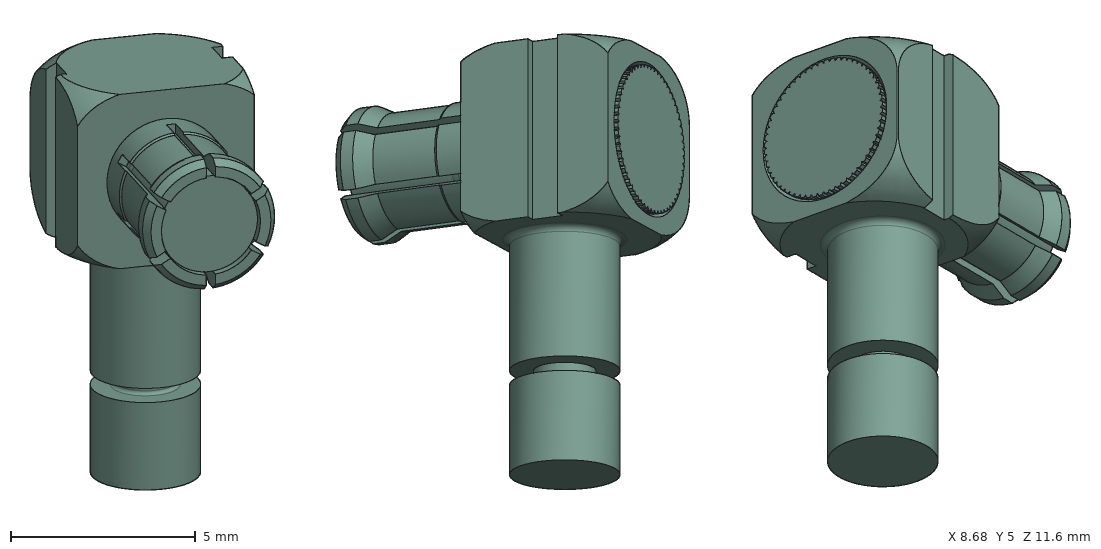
import cadquery as cq
import math


overall_height = 11.61

block_size = 5.0
block_back_x = -2.54
block_front_x = 1.9
corner_axis_x = -0.16
corner_axis_y = 0.17
corner_radius = 3.56
corner_arc_radius = 1.71
corner_straight_half_height = 0.94
groove_centre_x = -0.57
groove_width = 0.89
groove_depth = 0.3

stem_diameter = 3.0
stem_bottom_z = -6.19
stem_fillet = 0.19

end_piece_diameter = 3.0
end_piece_top_z = -6.6
neck_diameter = 1.7
neck_fillet = 0.1

cap_diameter = 4.06
cap_back_x = -2.61
cap_seat_depth = 0.58
countersink_diameter = 4.25
countersink_depth = 0.09
tooth_count = 60
tooth_notch_depth = 0.07
tooth_notch_width = 0.09

collet_shoulder_radius = 1.67
collet_finger_radius = 1.63
collet_flare_radius = 1.87
collet_mouth_radius = 1.7
shoulder_end_x = 3.05
finger_start_x = 3.12
flare_start_x = 4.99
flare_full_x = 5.48
flare_end_x = 5.85
collet_tip_x = 6.07
slot_start_x = 2.38
slot_width = 0.25
slot_count = 6

insulator_base_diameter = 2.8
insulator_nose_diameter = 2.75
insulator_taper_start_x = 2.6
insulator_taper_end_x = 2.8
insulator_tip_x = 5.87

half_block = block_size / 2
overall_bottom_z = half_block - overall_height
cap_front_x = block_back_x + cap_seat_depth


def cylinder_along_x(start_x, end_x, diameter):
    """A cylinder on the plug axis."""
    return cq.Workplane("YZ", origin=(start_x, 0, 0)).circle(diameter / 2).extrude(end_x - start_x)


def turned_along_x(profile):
    """A solid turned about the plug axis from (x, radius) points."""
    return cq.Workplane("XY").polyline(profile).close().revolve(360, (0, 0, 0), (1, 0, 0))


def cylinder_along_z(bottom_z, top_z, diameter):
    """A cylinder on the stem axis."""
    return cq.Workplane("XY", origin=(0, 0, bottom_z)).circle(diameter / 2).extrude(top_z - bottom_z)


def corner_envelope():
    """A drum with rounded rims: the part of it inside the block is what stays at the corners."""
    arc_centre_radius = corner_radius - corner_arc_radius
    arc_end_angle = math.asin((half_block - corner_straight_half_height) / corner_arc_radius)
    face_radius = arc_centre_radius + corner_arc_radius * math.cos(arc_end_angle)
    arc_mid_radius = arc_centre_radius + corner_arc_radius * math.cos(arc_end_angle / 2)
    arc_mid_z = corner_straight_half_height + corner_arc_radius * math.sin(arc_end_angle / 2)
    return (
        cq.Workplane("XZ", origin=(corner_axis_x, corner_axis_y, 0))
        .moveTo(0, -half_block)
        .lineTo(face_radius, -half_block)
        .threePointArc((arc_mid_radius, -arc_mid_z), (corner_radius, -corner_straight_half_height))
        .lineTo(corner_radius, corner_straight_half_height)
        .threePointArc((arc_mid_radius, arc_mid_z), (face_radius, half_block))
        .lineTo(0, half_block)
        .close()
        .revolve(360, (0, 0, 0), (0, 1, 0))
    )


def make_block():
    """The block with rounded corners and a vertical groove in each side."""
    length = block_front_x - block_back_x
    centre_x = (block_front_x + block_back_x) / 2
    block = cq.Workplane("XY").box(length, block_size, block_size).translate((centre_x, 0, 0))
    block = block.intersect(corner_envelope())
    for side in (-1, 1):
        groove = cq.Workplane("XY").box(groove_width, 2 * groove_depth, block_size)
        block = block.cut(groove.translate((groove_centre_x, side * half_block, 0)))
    return block


def fillet_flare(radius, fillet, face_z, direction):
    """A concave fillet around a round bar where it leaves a flat face, going up (1) or down (-1)."""
    arc_mid = fillet * (1 - math.sqrt(0.5))
    return (
        cq.Workplane("XZ")
        .moveTo(0, face_z)
        .lineTo(radius + fillet, face_z)
        .threePointArc(
            (radius + arc_mid, face_z + direction * arc_mid),
            (radius, face_z + direction * fillet),
        )
        .lineTo(0, face_z + direction * fillet)
        .close()
        .revolve(360, (0, 0, 0), (0, 1, 0))
    )


def make_stem():
    """The stem with a fillet under the block."""
    stem = cylinder_along_z(stem_bottom_z, -half_block, stem_diameter)
    return stem.union(fillet_flare(stem_diameter / 2, stem_fillet, -half_block, -1))


def make_housing():
    """Block and stem in one piece, with the countersunk seat of the rear cap."""
    seat = cylinder_along_x(block_back_x, cap_front_x, cap_diameter)
    countersink = turned_along_x([
        (block_back_x, 0),
        (block_back_x, countersink_diameter / 2),
        (block_back_x + countersink_depth, cap_diameter / 2),
        (block_back_x + countersink_depth, 0),
    ])
    return make_block().union(make_stem()).cut(seat).cut(countersink)


def make_end_piece():
    """A round piece whose filleted neck stands against the end of the stem."""
    barrel = cylinder_along_z(overall_bottom_z, end_piece_top_z, end_piece_diameter)
    neck = cylinder_along_z(end_piece_top_z, stem_bottom_z, neck_diameter)
    flare = fillet_flare(neck_diameter / 2, neck_fillet, end_piece_top_z, 1)
    return barrel.union(neck).union(flare)


def make_cap():
    """A disc with a ring of fine V notches around its rim."""
    notch_root = cap_diameter / 2 - tooth_notch_depth
    notch_outer = cap_diameter / 2 + tooth_notch_depth
    notch = (
        cq.Workplane("YZ", origin=(cap_back_x, 0, 0))
        .polyline([
            (0, notch_root),
            (tooth_notch_width, notch_outer),
            (-tooth_notch_width, notch_outer),
        ])
        .close()
        .extrude(cap_front_x - cap_back_x)
        .val()
    )
    notches = [
        notch.rotate((0, 0, 0), (1, 0, 0), number * 360 / tooth_count)
        for number in range(tooth_count)
    ]
    disc = cylinder_along_x(cap_back_x, cap_front_x, cap_diameter).val()
    return cq.Workplane(disc.cut(*notches))


def make_collet():
    """A tube with a flared mouth, slotted into spring fingers."""
    bore_radius = insulator_base_diameter / 2
    collet = turned_along_x([
        (block_front_x, bore_radius),
        (block_front_x, collet_shoulder_radius),
        (shoulder_end_x, collet_shoulder_radius),
        (finger_start_x, collet_finger_radius),
        (flare_start_x, collet_finger_radius),
        (flare_full_x, collet_flare_radius),
        (flare_end_x, collet_flare_radius),
        (collet_tip_x, collet_mouth_radius),
        (collet_tip_x, bore_radius),
    ])
    slot_length = collet_tip_x - slot_start_x
    slot = cq.Workplane("XY").box(
        slot_length, slot_width, collet_flare_radius, centered=(False, True, False)
    ).translate((slot_start_x, 0, 0))
    for number in range(slot_count):
        collet = collet.cut(slot.rotate((0, 0, 0), (1, 0, 0), number * 360 / slot_count))
    return collet


def make_insulator():
    """A core with a slightly thicker base that fills the collet bore."""
    base_radius = insulator_base_diameter / 2
    nose_radius = insulator_nose_diameter / 2
    return turned_along_x([
        (block_front_x, 0),
        (block_front_x, base_radius),
        (insulator_taper_start_x, base_radius),
        (insulator_taper_end_x, nose_radius),
        (insulator_tip_x, nose_radius),
        (insulator_tip_x, 0),
    ])


housing = make_housing()
end_piece = make_end_piece()
cap = make_cap()
collet = make_collet()
insulator = make_insulator()

result = cq.Compound.makeCompound([
    housing.val(),
    end_piece.val(),
    cap.val(),
    collet.val(),
    insulator.val(),
])